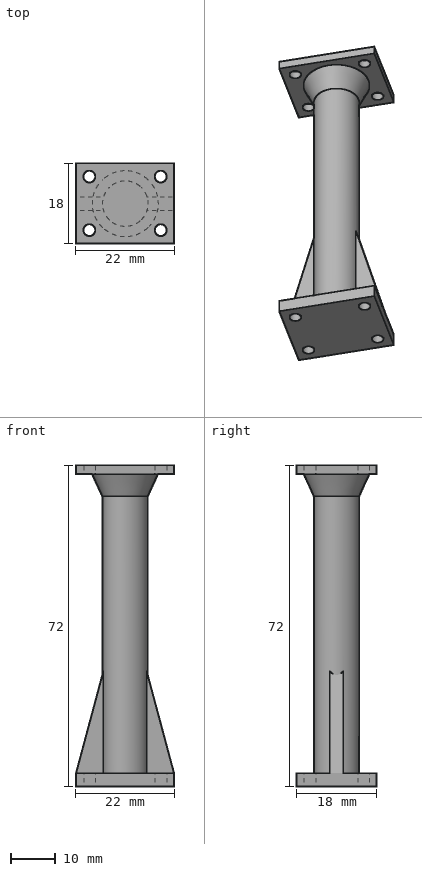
import cadquery as cq

height = 72.0
plate_length = 22.0
plate_width = 18.0
base_thickness = 3.0
top_thickness = 2.0

hole_diameter = 2.6
hole_inset = 3.0

column_diameter = 10.2
flare_diameter = 14.8
flare_height = 5.0

rib_thickness = 3.0
rib_height = 22.0

column_radius = column_diameter / 2
flare_radius = flare_diameter / 2
top_plate_z = height - top_thickness
flare_z = top_plate_z - flare_height


def make_plate(bottom_z, thickness):
    """Rectangular plate with a through hole near each corner."""
    return (
        cq.Workplane("XY", origin=(0, 0, bottom_z))
        .rect(plate_length, plate_width)
        .extrude(thickness)
        .faces(">Z")
        .workplane(origin=(0, 0, 0))
        .rect(plate_length - 2 * hole_inset, plate_width - 2 * hole_inset, forConstruction=True)
        .vertices()
        .hole(hole_diameter)
    )


def make_column():
    """Solid of revolution from the base plate to the underside of the top plate."""
    return (
        cq.Workplane("XZ")
        .moveTo(0, base_thickness)
        .lineTo(column_radius, base_thickness)
        .lineTo(column_radius, flare_z)
        .lineTo(flare_radius, top_plate_z)
        .lineTo(0, top_plate_z)
        .close()
        .revolve(360, (0, 0, 0), (0, 1, 0))
    )


def make_rib(side):
    """Sloping rib from the plate edge, running on inside the column to its axis; side is the X sign."""
    plate_edge = plate_length / 2
    slope = rib_height / (plate_edge - column_radius)
    return (
        cq.Workplane("XZ")
        .moveTo(0, base_thickness)
        .lineTo(side * plate_edge, base_thickness)
        .lineTo(0, base_thickness + slope * plate_edge)
        .close()
        .extrude(rib_thickness / 2, both=True)
    )


result = make_plate(0, base_thickness).union(make_column()).union(make_plate(top_plate_z, top_thickness))
for side in (-1, 1):
    result = result.union(make_rib(side))